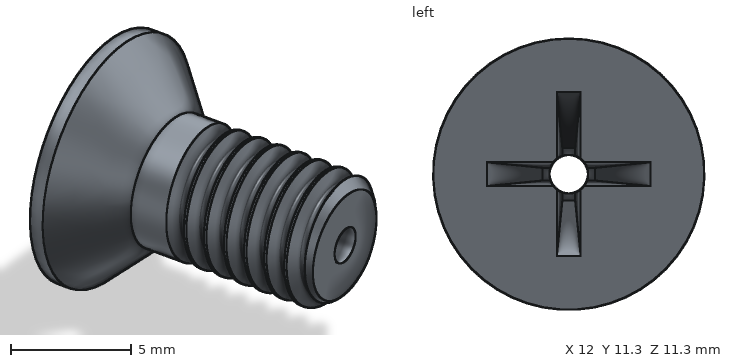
import cadquery as cq
import math

length = 12.0
head_radius = 5.65
rim_thickness = 0.64
shank_radius = 3.0
shank_start = rim_thickness + head_radius - shank_radius
tip_chamfer = 0.55
bore_diameter = 1.6

pitch = shank_radius / 3
start_angle = 18.0
thread_start = pitch * (5 + start_angle / 360)
thread_overrun = 0.3 * pitch
flank_half_angle = math.radians(30)
crest_width = pitch / 8
cutter_overlap = 0.06

runout_angle = 120.0
runout_lift = 0.68
runout_steps = 6

recess_length = 6.83
recess_width = 1.0
floor_length = 2.18
floor_width = 0.53
recess_depth = 3.0


def make_blank():
    """Revolve the head, countersink, shank and chamfered tip."""
    outline = [
        (0, 0),
        (0, head_radius),
        (rim_thickness, head_radius),
        (shank_start, shank_radius),
        (length - tip_chamfer, shank_radius),
        (length, shank_radius - tip_chamfer),
        (length, 0),
    ]
    blank = cq.Workplane("XY").polyline(outline).close().revolve(360, (0, 0), (1, 0))
    return blank.rotate((0, 0, 0), (1, 0, 0), 90)


def groove_section(workplane, lift=0):
    """Draw the groove outline (local X radial, Y axial), lifted outward by lift."""
    mouth_half_width = (pitch - crest_width) / 2
    apex_radius = shank_radius - mouth_half_width / math.tan(flank_half_angle) + lift
    root_arc_radius = pitch / math.sqrt(3) / 4
    root_center_radius = apex_radius + root_arc_radius / math.sin(flank_half_angle)
    root_bottom = root_center_radius - root_arc_radius
    tangent_radius = root_center_radius - root_arc_radius * math.sin(flank_half_angle)
    tangent_half_width = root_arc_radius * math.cos(flank_half_angle)
    outer_radius = shank_radius + cutter_overlap + lift
    outer_half_width = mouth_half_width + cutter_overlap * math.tan(flank_half_angle)
    return (
        workplane.moveTo(outer_radius, -outer_half_width)
        .lineTo(tangent_radius, -tangent_half_width)
        .threePointArc((root_bottom, 0), (tangent_radius, tangent_half_width))
        .lineTo(outer_radius, outer_half_width)
        .close()
    )


def place_on_shank(cutter):
    """Turn a cutter's axis from Z to X and its start from +X to the thread start."""
    return (
        cutter.rotate((0, 0, 0), (0, 1, 0), 90)
        .rotate((0, 0, 0), (1, 0, 0), 90 + start_angle)
        .translate((thread_start, 0, 0))
    )


def make_thread_groove():
    """Sweep the full-depth groove along its helix, past the tip."""
    helix_height = length + thread_overrun - thread_start
    helix = cq.Wire.makeHelix(pitch, helix_height, shank_radius)
    groove = groove_section(cq.Workplane("XZ")).sweep(cq.Workplane(obj=helix), isFrenet=True)
    return place_on_shank(groove)


def make_runout():
    """Loft the groove backward along the helix while it rises out of the shank."""
    sections = []
    for step in range(runout_steps + 1):
        fraction = step / runout_steps
        back_turn = math.radians(fraction * runout_angle)
        plane = cq.Plane(
            origin=(0, 0, -pitch * back_turn / (2 * math.pi)),
            xDir=(math.cos(back_turn), -math.sin(back_turn), 0),
            normal=(-math.sin(back_turn), -math.cos(back_turn), 0),
        )
        section = groove_section(cq.Workplane(plane), fraction * runout_lift)
        sections.append(section.val())
    return place_on_shank(cq.Workplane(obj=cq.Solid.makeLoft(sections)))


def make_recess_bar():
    """One tapered bar of the cross recess, long in Y."""
    return (
        cq.Workplane("YZ")
        .rect(recess_length, recess_width)
        .workplane(offset=recess_depth)
        .rect(floor_length, floor_width)
        .loft(ruled=True)
    )


result = make_blank().cut(make_thread_groove()).cut(make_runout())
for turn in (0, 90):
    result = result.cut(make_recess_bar().rotate((0, 0, 0), (1, 0, 0), turn))
bore = cq.Workplane("YZ").circle(bore_diameter / 2).extrude(length)
result = result.cut(bore)